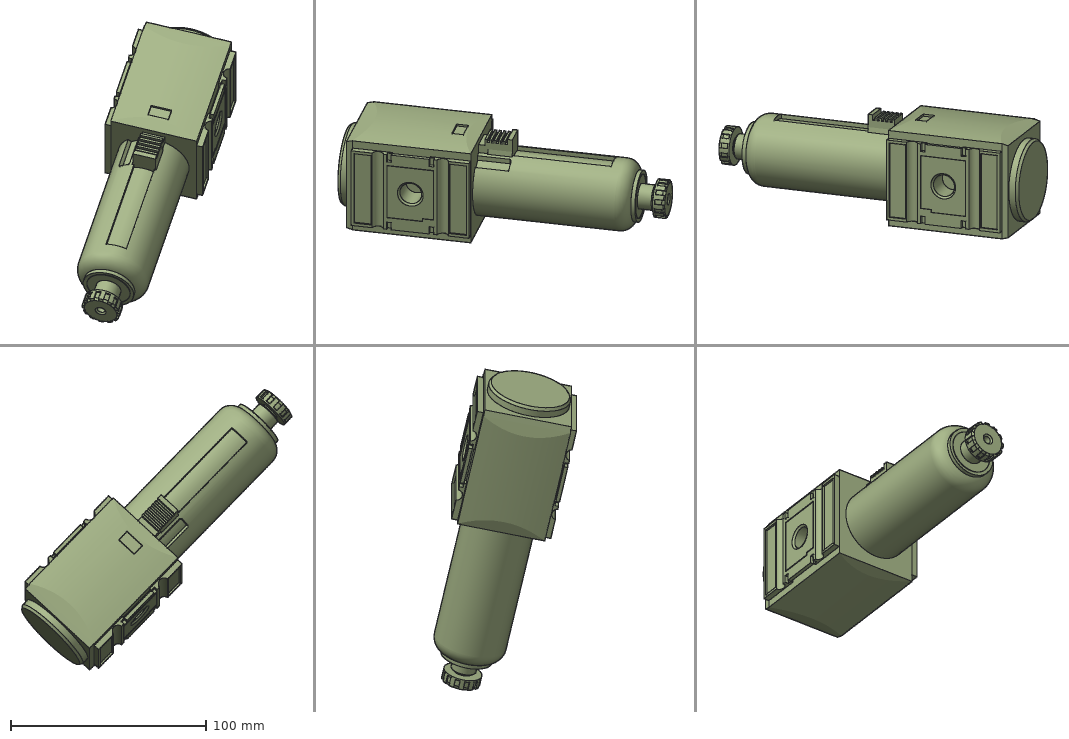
import cadquery as cq
import math


BLOCK_WIDTH = 45.8
BLOCK_LENGTH = 62.4
BLOCK_SIDE_HEIGHT = 51.2
CROWN_HEIGHT = 54.2
FRONT_SLOPE_LENGTH = 6.6
REAR_SLOPE_LENGTH = 6.3

PLATE_LENGTH = 3.2
PLATE_INSET = 0.2
PLATE_REAR_HEIGHT = 49.5

CAP_DIAMETER = 43.0
CAP_LENGTH = 5.1
CAP_BEVEL_RADIAL = 1.0
CAP_BEVEL_AXIAL = 1.5

OVERALL_WIDTH = 52.0
FLANGE_HEIGHT = 42.9
FLANGE_SETBACK = 0.2
GROOVE_OFFSET = 17.1
GROOVE_WIDTH = 6.0
GROOVE_DEPTH = 2.5
PAD_RECESS_LENGTH = 9.0
PAD_RECESS_HEIGHT = 39.8
PAD_RECESS_DEPTH = 1.0
PAD_RECESS_END_GAP = 1.5
NOTCH_WIDTH = 2.4
NOTCH_HEIGHT = 4.0
NOTCH_OFFSET = 11.2
SLIT_WIDTH = 1.2
PORT_RECESS_LENGTH = 24.5
PORT_RECESS_TOP = 15.1
PORT_RECESS_BOTTOM = -14.7
PORT_RECESS_DEPTH = 0.3
PORT_KEY_LENGTH = 5.8
PORT_KEY_HEIGHT = 1.5
PORT_DIAMETER = 11.5
PORT_MOUTH_DIAMETER = 13.5
PORT_DEPTH = 13.5

LABEL_LENGTH = 10.8
LABEL_WIDTH = 6.1
LABEL_DEPTH = 1.2
LABEL_CENTER_Y = 11.2

BOWL_DIAMETER = 37.8
BOWL_LENGTH = 82.4
BOWL_END_RADIUS = 7.5
RECESS_FLOOR_DIAMETER = 33.2
WINDOW_WIDTH = 10.8
WINDOW_END = 69.8
SIDE_GROOVE_INNER_X = -8.0
SIDE_GROOVE_OUTER_X = -13.5
SIDE_GROOVE_CORNER = 0.7
SIDE_GROOVE_WALL_ANGLE = 45.0

LATCH_WIDTH = 11.9
LATCH_LENGTH = 17.8
LATCH_TOP = 27.3
GRIP_TOP = 26.0
GRIP_START = 3.4
GRIP_END = 15.3
GRIP_GROOVE_COUNT = 5
GRIP_GROOVE_DEPTH = 1.5
LATCH_NECK_TOP = 22.5
FLARE_START = 5.0
FLARE_TOP = 20.3
FLARE_BOTTOM = 17.8
FLARE_DEPTH = 0.5

RING_DIAMETER = 27.0
RING_LENGTH = 1.9
RING_RECESS_DIAMETER = 23.0
RING_RECESS_DEPTH = 0.3
STEM_DIAMETER = 13.2
STEM_LENGTH = 7.5
STEM_CHAMFER = 0.5
NECK_DIAMETER = 9.7
NECK_LENGTH = 1.0
KNOB_DIAMETER = 20.0
KNOB_COLLAR_LENGTH = 1.0
KNOB_TOOTH_COUNT = 12
KNOB_SLOT_WIDTH = 2.5
KNOB_FACE_DIAMETER = 17.3
KNOB_BEVEL_LENGTH = 0.5
KNOB_ROOT_DIAMETER = 18.3
KNOB_ROOT_BEVEL_LENGTH = 1.5
DRAIN_DIAMETER = 4.0
DRAIN_MOUTH_DIAMETER = 5.8
DRAIN_DEPTH = 6.8

OVERALL_LENGTH = 169.5

PLATE_REAR_Y = BLOCK_LENGTH + PLATE_LENGTH
CAP_REAR_Y = PLATE_REAR_Y + CAP_LENGTH
RING_FRONT_Y = -BOWL_LENGTH - RING_LENGTH
STEM_FRONT_Y = RING_FRONT_Y - STEM_LENGTH
KNOB_BACK_Y = STEM_FRONT_Y - NECK_LENGTH
KNOB_FRONT_Y = CAP_REAR_Y - OVERALL_LENGTH
PORT_Y = BLOCK_LENGTH / 2


def box(x_range, y_range, z_range):
    """Axis-aligned box between the given limits."""
    sizes = [high - low for low, high in (x_range, y_range, z_range)]
    corner = (x_range[0], y_range[0], z_range[0])
    return cq.Workplane("XY").box(*sizes, centered=False).translate(corner)


def centered(middle, length):
    """Limits of a span of the given length about its middle."""
    return (middle - length / 2, middle + length / 2)


def rod(diameter, y_start, y_end):
    """Cylinder about the Y axis."""
    return cq.Workplane("XZ", origin=(0, y_end, 0)).circle(diameter / 2).extrude(y_end - y_start)


def turned(radius_y_points):
    """Solid of revolution about the Y axis from a closed (radius, y) outline."""
    return cq.Workplane("XY").polyline(radius_y_points).close().revolve(360, (0, 0), (0, 1))


def make_block():
    """Block with arched top and bottom and a narrower end plate, sloped down to both ends."""
    half_width = BLOCK_WIDTH / 2
    side_top = BLOCK_SIDE_HEIGHT / 2
    crown_top = CROWN_HEIGHT / 2
    rear_top = PLATE_REAR_HEIGHT / 2
    arched = (
        cq.Workplane("XZ", origin=(0, BLOCK_LENGTH, 0))
        .moveTo(-half_width, -side_top)
        .threePointArc((0, -crown_top), (half_width, -side_top))
        .lineTo(half_width, side_top)
        .threePointArc((0, crown_top), (-half_width, side_top))
        .close()
        .extrude(BLOCK_LENGTH)
    )
    plate = box(
        centered(0, BLOCK_WIDTH - 2 * PLATE_INSET),
        (BLOCK_LENGTH, PLATE_REAR_Y),
        centered(0, BLOCK_SIDE_HEIGHT),
    )
    upper_edge = [
        (0, side_top),
        (FRONT_SLOPE_LENGTH, crown_top),
        (BLOCK_LENGTH - REAR_SLOPE_LENGTH, crown_top),
        (BLOCK_LENGTH, side_top),
        (PLATE_REAR_Y, rear_top),
    ]
    lower_edge = [(y, -z) for y, z in reversed(upper_edge)]
    side_outline = cq.Workplane("YZ").polyline(upper_edge + lower_edge).close()
    return arched.union(plate).intersect(side_outline.extrude(half_width, both=True))


def make_cap():
    """Round cap at the rear with a bevelled rim."""
    radius = CAP_DIAMETER / 2
    return turned(
        [
            (0, PLATE_REAR_Y),
            (radius, PLATE_REAR_Y),
            (radius, CAP_REAR_Y - CAP_BEVEL_AXIAL),
            (radius - CAP_BEVEL_RADIAL, CAP_REAR_Y),
            (0, CAP_REAR_Y),
        ]
    )


def make_flange():
    """Connection flange of the -X side."""
    outer_x = -OVERALL_WIDTH / 2
    inner_x = -BLOCK_WIDTH / 2
    top = FLANGE_HEIGHT / 2
    flange = box((outer_x, inner_x), (FLANGE_SETBACK, BLOCK_LENGTH), (-top, top))

    groove_radius = ((GROOVE_WIDTH / 2) ** 2 + GROOVE_DEPTH**2) / (2 * GROOVE_DEPTH)
    groove_center_x = outer_x + GROOVE_DEPTH - groove_radius
    for side in (-1, 1):
        groove = cq.Workplane("XY").circle(groove_radius).extrude(top, both=True)
        flange = flange.cut(groove.translate((groove_center_x, PORT_Y + side * GROOVE_OFFSET, 0)))

    recess_offset = PORT_Y - PAD_RECESS_END_GAP - PAD_RECESS_LENGTH / 2
    for side in (-1, 1):
        recess = box(
            (outer_x, outer_x + PAD_RECESS_DEPTH),
            centered(PORT_Y + side * recess_offset, PAD_RECESS_LENGTH),
            centered(0, PAD_RECESS_HEIGHT),
        )
        flange = flange.cut(recess)

    notch_x = (outer_x, inner_x - SLIT_WIDTH)
    slit_x = (inner_x - SLIT_WIDTH, inner_x)
    slit_length = 2 * NOTCH_OFFSET - NOTCH_WIDTH
    notch_middle_z = top - NOTCH_HEIGHT / 2
    for z in (-notch_middle_z, notch_middle_z):
        z_range = centered(z, NOTCH_HEIGHT)
        for side in (-1, 1):
            notch_y = PORT_Y + side * NOTCH_OFFSET
            flange = flange.cut(box(notch_x, centered(notch_y, NOTCH_WIDTH), z_range))
        flange = flange.cut(box(slit_x, centered(PORT_Y, slit_length), z_range))

    recess_x = (outer_x, outer_x + PORT_RECESS_DEPTH)
    recess_y = centered(PORT_Y, PORT_RECESS_LENGTH)
    port_recess = box(recess_x, recess_y, (PORT_RECESS_BOTTOM, PORT_RECESS_TOP))
    key = box(
        recess_x,
        (recess_y[0], recess_y[0] + PORT_KEY_LENGTH),
        (PORT_RECESS_BOTTOM, PORT_RECESS_BOTTOM + PORT_KEY_HEIGHT),
    )
    return flange.cut(port_recess.cut(key))


def make_port():
    """Blind port of the -X side with a countersunk mouth."""
    mouth_x = -OVERALL_WIDTH / 2 + PORT_RECESS_DEPTH
    radius = PORT_DIAMETER / 2
    mouth_radius = PORT_MOUTH_DIAMETER / 2
    outline = [
        (mouth_x, 0),
        (mouth_x, mouth_radius),
        (mouth_x + mouth_radius - radius, radius),
        (mouth_x + PORT_DEPTH, radius),
        (mouth_x + PORT_DEPTH, 0),
    ]
    port = cq.Workplane("XY").polyline(outline).close().revolve(360, (0, 0), (1, 0))
    return port.translate((0, PORT_Y, 0))


def make_housing():
    housing = make_block().union(make_cap())
    flange = make_flange()
    port = make_port()
    housing = housing.union(flange).union(flange.mirror("YZ"))
    housing = housing.cut(port).cut(port.mirror("YZ"))
    label_recess = box(
        centered(0, LABEL_LENGTH),
        centered(LABEL_CENTER_Y, LABEL_WIDTH),
        (CROWN_HEIGHT / 2 - LABEL_DEPTH, CROWN_HEIGHT / 2),
    )
    return housing.cut(label_recess)


def make_window():
    """Long recess along the top of the bowl with a floor concentric to it."""
    pocket = box(centered(0, WINDOW_WIDTH), (-WINDOW_END, -LATCH_LENGTH), (0, BOWL_DIAMETER / 2))
    return pocket.cut(rod(RECESS_FLOOR_DIAMETER, -BOWL_LENGTH, 0))


def make_side_groove():
    """Groove beside the latch: upright inner wall, sloped outer wall, concentric floor."""
    radius = BOWL_DIAMETER / 2
    outer_z = math.sqrt(radius**2 - SIDE_GROOVE_OUTER_X**2)
    width = SIDE_GROOVE_INNER_X - SIDE_GROOVE_OUTER_X
    wall_drop = width * math.tan(math.radians(SIDE_GROOVE_WALL_ANGLE))
    section = [
        (SIDE_GROOVE_OUTER_X, outer_z),
        (SIDE_GROOVE_INNER_X, outer_z - wall_drop),
        (SIDE_GROOVE_INNER_X, radius),
        (SIDE_GROOVE_OUTER_X, radius),
    ]
    groove = cq.Workplane("XZ").polyline(section).close().extrude(LATCH_LENGTH)
    plan = cq.Workplane("XY").polyline(
        [
            (SIDE_GROOVE_OUTER_X, 0),
            (SIDE_GROOVE_OUTER_X, SIDE_GROOVE_CORNER - LATCH_LENGTH),
            (SIDE_GROOVE_OUTER_X + SIDE_GROOVE_CORNER, -LATCH_LENGTH),
            (SIDE_GROOVE_INNER_X - SIDE_GROOVE_CORNER, -LATCH_LENGTH),
            (SIDE_GROOVE_INNER_X, SIDE_GROOVE_CORNER - LATCH_LENGTH),
            (SIDE_GROOVE_INNER_X, 0),
        ]
    )
    groove = groove.intersect(plan.close().extrude(radius))
    return groove.cut(rod(RECESS_FLOOR_DIAMETER, -BOWL_LENGTH, 0))


def make_latch():
    """Latch block on top of the bowl: stepped, ribbed for grip and flared at its foot."""
    outline = [
        (0, 0),
        (0, LATCH_NECK_TOP),
        (-GRIP_START, LATCH_NECK_TOP),
        (-GRIP_START, GRIP_TOP),
        (-GRIP_END, GRIP_TOP),
        (-GRIP_END, LATCH_TOP),
        (-LATCH_LENGTH, LATCH_TOP),
        (-LATCH_LENGTH, 0),
    ]
    latch = cq.Workplane("YZ").polyline(outline).close().extrude(LATCH_WIDTH / 2, both=True)

    pitch = (GRIP_END - GRIP_START) / GRIP_GROOVE_COUNT
    for index in range(GRIP_GROOVE_COUNT):
        groove_end = -GRIP_START - pitch * (index + 1)
        groove = box(
            centered(0, LATCH_WIDTH),
            (groove_end, groove_end + pitch / 2),
            (GRIP_TOP - GRIP_GROOVE_DEPTH, GRIP_TOP),
        )
        latch = latch.cut(groove)

    half_width = LATCH_WIDTH / 2
    foot_half_width = half_width + FLARE_DEPTH
    flare_section = [
        (-half_width, FLARE_TOP),
        (-foot_half_width, FLARE_BOTTOM),
        (-foot_half_width, 0),
        (foot_half_width, 0),
        (foot_half_width, FLARE_BOTTOM),
        (half_width, FLARE_TOP),
    ]
    flare_plane = cq.Workplane("XZ", origin=(0, -FLARE_START, 0))
    flare = flare_plane.polyline(flare_section).close().extrude(LATCH_LENGTH - FLARE_START)
    return latch.union(flare)


def make_knob_blank(diameter, bevel_length):
    """Knob-length disc of the given diameter, bevelled at the front down to the face diameter."""
    radius = diameter / 2
    return turned(
        [
            (0, KNOB_BACK_Y),
            (radius, KNOB_BACK_Y),
            (radius, KNOB_FRONT_Y + bevel_length),
            (KNOB_FACE_DIAMETER / 2, KNOB_FRONT_Y),
            (0, KNOB_FRONT_Y),
        ]
    )


def make_knob():
    """Knob with a plain collar at the back and, in front of it, teeth around a bevelled root."""
    knob = make_knob_blank(KNOB_DIAMETER, KNOB_BEVEL_LENGTH)
    root = make_knob_blank(KNOB_ROOT_DIAMETER, KNOB_ROOT_BEVEL_LENGTH)
    slot = box(
        centered(0, KNOB_SLOT_WIDTH),
        (KNOB_FRONT_Y, KNOB_BACK_Y - KNOB_COLLAR_LENGTH),
        (0, KNOB_DIAMETER / 2),
    ).cut(root)
    tooth_pitch = 360 / KNOB_TOOTH_COUNT
    for index in range(KNOB_TOOTH_COUNT):
        knob = knob.cut(slot.rotate((0, 0, 0), (0, 1, 0), (index + 0.5) * tooth_pitch))

    hole_radius = DRAIN_DIAMETER / 2
    mouth_radius = DRAIN_MOUTH_DIAMETER / 2
    hole = turned(
        [
            (0, KNOB_FRONT_Y),
            (mouth_radius, KNOB_FRONT_Y),
            (hole_radius, KNOB_FRONT_Y + mouth_radius - hole_radius),
            (hole_radius, KNOB_FRONT_Y + DRAIN_DEPTH),
            (0, KNOB_FRONT_Y + DRAIN_DEPTH),
        ]
    )
    return knob.cut(hole)


def make_drain():
    """Ring, stem, neck and toothed knob with the drain hole."""
    ring = rod(RING_DIAMETER, RING_FRONT_Y, -BOWL_LENGTH)
    recess_floor_y = RING_FRONT_Y + RING_RECESS_DEPTH
    ring = ring.cut(rod(RING_RECESS_DIAMETER, RING_FRONT_Y, recess_floor_y))

    stem = rod(STEM_DIAMETER, STEM_FRONT_Y, recess_floor_y).faces("<Y").chamfer(STEM_CHAMFER)
    neck = rod(NECK_DIAMETER, KNOB_BACK_Y, STEM_FRONT_Y)
    return ring.union(stem).union(neck).union(make_knob())


def make_ring_seat():
    """Material that backs the drain ring where the bowl's end is rounded away."""
    return rod(RING_DIAMETER, -BOWL_LENGTH, BOWL_END_RADIUS - BOWL_LENGTH)


def make_bowl():
    bowl = rod(BOWL_DIAMETER, -BOWL_LENGTH, 0).faces("<Y").edges().fillet(BOWL_END_RADIUS)
    bowl = bowl.cut(make_window()).cut(make_side_groove())
    return bowl.union(make_latch()).union(make_ring_seat()).union(make_drain())


housing = make_housing()
bowl = make_bowl()
result = cq.Compound.makeCompound([housing.solids().val(), bowl.solids().val()])